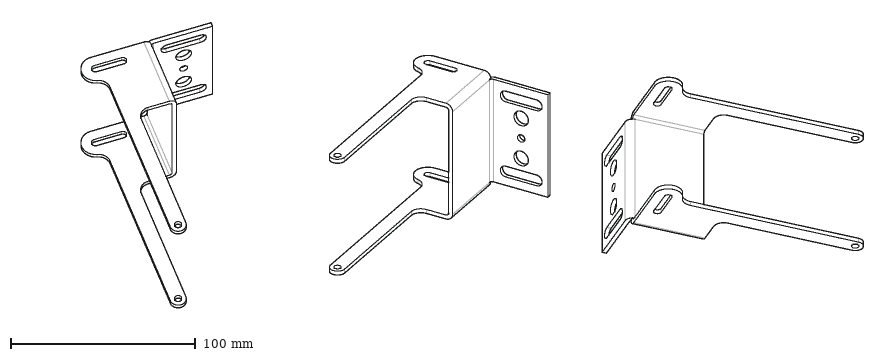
import cadquery as cq
import math

total_length = 127.2
total_height = 72.3
sheet = 2.5

web_height = 64.0
web_end_x = 44.3
plate_depth = 38.0
bend_outer = (total_height - web_height) / 2
bend_inner = bend_outer - sheet

plate_hole_y = 21.4
plate_slot_length = 26.0
plate_slot_width = 6.6
plate_slot_z = 23.4
large_hole_diameter = 8.9
large_hole_z = 12.5
small_hole_diameter = 4.5

arm_start_x = 2.7
lobe_radius = 7.9
lobe_end_y = -40.1
bar_width = 8.9
bar_center_y = -24.3
bar_fillet = 6.0
lobe_fillet = 6.7
pivot_diameter = 4.0
arm_slot_length = 20.0
arm_slot_width = 4.2

bar_radius = bar_width / 2
bar_top_y = bar_center_y + bar_radius
bar_bottom_y = bar_center_y - bar_radius
pivot_x = total_length - bar_radius
lobe_x = arm_start_x + lobe_radius
lobe_y = lobe_end_y + lobe_radius
arm_slot_y = lobe_y + (arm_slot_length - arm_slot_width) / 2
arm_bend_end_y = sheet - bend_outer
arm_bottom_z = total_height / 2 - sheet


def on_arc(center, radius, angle):
    """Point on a circle; the angle is in degrees from +X."""
    turn = math.radians(angle)
    return (center[0] + radius * math.cos(turn), center[1] + radius * math.sin(turn))


def web_and_plate():
    """L-shaped profile with a rounded bend, extruded over the web height."""
    bend_center = (bend_outer, bend_outer)
    return (
        cq.Workplane("XY")
        .workplane(offset=-web_height / 2)
        .moveTo(web_end_x, 0)
        .lineTo(bend_outer, 0)
        .threePointArc(on_arc(bend_center, bend_outer, 225), (0, bend_outer))
        .lineTo(0, plate_depth)
        .lineTo(sheet, plate_depth)
        .lineTo(sheet, bend_outer)
        .threePointArc(on_arc(bend_center, bend_inner, 225), (bend_outer, sheet))
        .lineTo(web_end_x, sheet)
        .close()
        .extrude(web_height)
    )


def plate_holes():
    """Two slots, two large holes and one small hole through the mounting plate."""
    plane = cq.Workplane("YZ").center(plate_hole_y, 0)
    slots = (
        plane.pushPoints([(0, -plate_slot_z), (0, plate_slot_z)])
        .slot2D(plate_slot_length, plate_slot_width)
        .extrude(sheet)
    )
    large_holes = (
        plane.pushPoints([(0, -large_hole_z), (0, large_hole_z)])
        .circle(large_hole_diameter / 2)
        .extrude(sheet)
    )
    small_hole = plane.circle(small_hole_diameter / 2).extrude(sheet)
    return slots.union(large_holes).union(small_hole)


def arm_bend():
    """Quarter-round bend that joins the top edge of the web to the upper arm."""
    web_top = web_height / 2
    bend_center = (arm_bend_end_y, web_top)
    return (
        cq.Workplane("YZ")
        .workplane(offset=arm_start_x)
        .moveTo(0, web_top)
        .lineTo(sheet, web_top)
        .threePointArc(on_arc(bend_center, bend_outer, 45), (arm_bend_end_y, web_top + bend_outer))
        .lineTo(arm_bend_end_y, web_top + bend_inner)
        .threePointArc(on_arc(bend_center, bend_inner, 45), (0, web_top))
        .close()
        .extrude(web_end_x - arm_start_x)
    )


def arm_blade():
    """Flat upper arm: a wide root, a rounded lobe with a slot, and a long bar with a pivot hole."""
    fillet_y = bar_bottom_y - lobe_fillet
    center_distance = lobe_radius + lobe_fillet
    rise = math.asin((fillet_y - lobe_y) / center_distance)
    fillet_x = lobe_x + center_distance * math.cos(rise)
    fillet_center = (fillet_x, fillet_y)
    lobe_center = (lobe_x, lobe_y)
    touch_angle = math.degrees(rise)
    fillet_mid_angle = (90 + 180 + touch_angle) / 2
    upper_fillet_center = (web_end_x + bar_fillet, bar_top_y + bar_fillet)

    blade = (
        cq.Workplane("XY")
        .workplane(offset=arm_bottom_z)
        .moveTo(arm_start_x, arm_bend_end_y)
        .lineTo(arm_start_x, lobe_y)
        .threePointArc((lobe_x, lobe_end_y), on_arc(lobe_center, lobe_radius, touch_angle))
        .threePointArc(on_arc(fillet_center, lobe_fillet, fillet_mid_angle), (fillet_x, bar_bottom_y))
        .lineTo(pivot_x, bar_bottom_y)
        .threePointArc((total_length, bar_center_y), (pivot_x, bar_top_y))
        .lineTo(web_end_x + bar_fillet, bar_top_y)
        .threePointArc(
            on_arc(upper_fillet_center, bar_fillet, 225),
            (web_end_x, bar_top_y + bar_fillet),
        )
        .lineTo(web_end_x, arm_bend_end_y)
        .close()
        .extrude(sheet)
    )
    openings = cq.Workplane("XY").workplane(offset=arm_bottom_z)
    pivot_hole = openings.center(pivot_x, bar_center_y).circle(pivot_diameter / 2).extrude(sheet)
    slot = (
        openings.center(lobe_x, arm_slot_y)
        .slot2D(arm_slot_length, arm_slot_width, 90)
        .extrude(sheet)
    )
    return blade.cut(pivot_hole).cut(slot)


upper_arm = arm_bend().union(arm_blade())
lower_arm = upper_arm.mirror("XY")
result = web_and_plate().cut(plate_holes()).union(upper_arm).union(lower_arm)